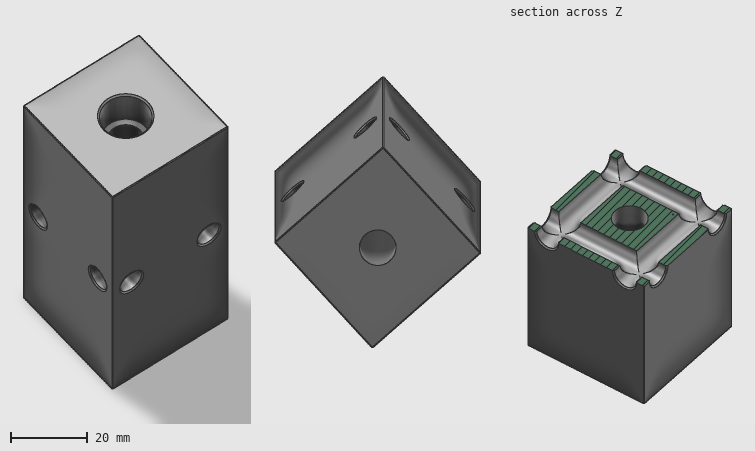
import cadquery as cq

side = 38.1
height = 82.55
edge_chamfer = 0.25

port_diameter = 13.7
port_taper = 1 / 16
port_depth = 9.9
port_chamfer = 0.5
through_diameter = 9.5

cross_diameter = 7.1
cross_spacing = 25.4
cross_chamfer = 0.4


def block():
    return cq.Workplane("XY").box(side, side, height).edges().chamfer(edge_chamfer)


def axial_hole():
    """Solid of revolution: chamfered mouth, tapered port, then the through hole."""
    top = height / 2
    port_radius = port_diameter / 2
    port_floor_radius = port_radius - port_taper * (port_depth - port_chamfer) / 2
    through_radius = through_diameter / 2
    return (
        cq.Workplane("XZ")
        .moveTo(0, top)
        .lineTo(port_radius + port_chamfer, top)
        .lineTo(port_radius, top - port_chamfer)
        .lineTo(port_floor_radius, top - port_depth)
        .lineTo(through_radius, top - port_depth)
        .lineTo(through_radius, -top)
        .lineTo(0, -top)
        .close()
        .revolve(360, (0, 0), (0, 1))
    )


def cross_holes(body, face):
    """Pair of through holes entering at the given face, chamfered at both ends."""
    offset = cross_spacing / 2
    body = (
        body.faces(face)
        .workplane(centerOption="CenterOfBoundBox")
        .pushPoints([(-offset, 0), (offset, 0)])
        .hole(cross_diameter)
    )
    opposite_face = face.replace("<", ">")
    for end_face in (face, opposite_face):
        body = body.faces(end_face).edges("%CIRCLE").chamfer(cross_chamfer)
    return body


result = block().cut(axial_hole())
for entry_face in ("<Y", "<X"):
    result = cross_holes(result, entry_face)